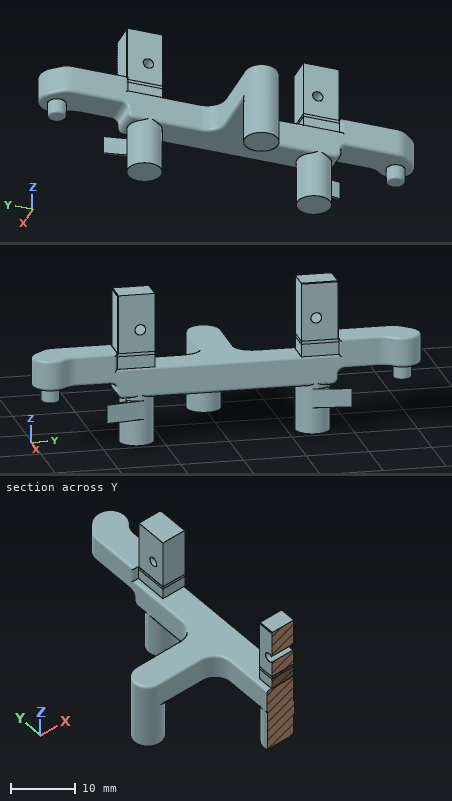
import cadquery as cq
import math

frame_bottom = 7.8
frame_top = 12.7
arm_bottom = 10.3
arm_top = 15.25
post_top = 24.7

half_length = 31.0
overall_width = 21.65
bar_width = 5.5
bar_radius = bar_width / 2
stem_reach = 14.6
stem_fillet = 3.0
bar_end_y = 26.85
lobe_radius = 3.0
lobe_x = overall_width - stem_reach - bar_radius - lobe_radius
lobe_y = half_length - lobe_radius
lobe_neck_fillet = 3.0
neck_start_x = -2.0
edge_fillet = 0.5

step_y = 17.6
step_fillet = 1.0

leg_y = 14.0
tab_tilt = 10.0
tab_thickness = 0.5
tab_length = 6.1
tab_fillet = 0.6
tab_bottom = 4.3
tab_height = 3.05

pin_diameter = 3.0
pin_fillet = 0.4

post_width = 4.5
post_depth = 5.95
post_x = bar_radius - post_width / 2
post_chamfer = 0.1
pad_thickness = 0.5
hole_diameter = 1.7
hole_z = 18.9

SIDES = (1, -1)


def polar(radius, angle):
    """Offsets along X and Y of a point at this radius and angle."""
    return radius * math.cos(angle), radius * math.sin(angle)


def half_plan(side):
    """Half of the frame's plan, on one side of the stem, extruded from the feet to the post tops."""
    neck_start_y = bar_end_y + math.sqrt(bar_radius**2 - neck_start_x**2)
    to_neck_x = neck_start_x - lobe_x
    to_neck_y = neck_start_y - lobe_y
    tangent_angle = math.atan2(to_neck_y, to_neck_x) - math.acos(
        lobe_radius / math.hypot(to_neck_x, to_neck_y)
    )
    tangent_dx, tangent_dy = polar(lobe_radius, tangent_angle)

    neck_centre_x = bar_radius + lobe_neck_fillet
    centre_distance = lobe_radius + lobe_neck_fillet
    neck_drop = math.sqrt(centre_distance**2 - (neck_centre_x - lobe_x) ** 2)
    neck_centre_y = lobe_y - neck_drop
    neck_angle = math.atan2(-neck_drop, neck_centre_x - lobe_x)
    lobe_end_dx, lobe_end_dy = polar(lobe_radius, neck_angle)
    lobe_mid_dx, lobe_mid_dy = polar(lobe_radius, (tangent_angle + neck_angle) / 2)
    neck_mid_dx, neck_mid_dy = polar(lobe_neck_fillet, math.pi + neck_angle / 2)

    end_mid_angle = (math.pi + math.atan2(neck_start_y - bar_end_y, neck_start_x)) / 2
    end_mid_dx, end_mid_dy = polar(bar_radius, end_mid_angle)
    stem_fillet_mid = stem_fillet * (1 - math.sqrt(0.5))

    def at(x, y):
        return x, side * y

    diagonal = bar_radius * math.sqrt(0.5)
    return (
        cq.Workplane("XY")
        .moveTo(*at(-stem_reach - bar_radius, 0))
        .threePointArc(
            at(-stem_reach - diagonal, diagonal),
            at(-stem_reach, bar_radius),
        )
        .lineTo(*at(-bar_radius - stem_fillet, bar_radius))
        .threePointArc(
            at(-bar_radius - stem_fillet_mid, bar_radius + stem_fillet_mid),
            at(-bar_radius, bar_radius + stem_fillet),
        )
        .lineTo(*at(-bar_radius, bar_end_y))
        .threePointArc(at(end_mid_dx, bar_end_y + end_mid_dy), at(neck_start_x, neck_start_y))
        .lineTo(*at(lobe_x + tangent_dx, lobe_y + tangent_dy))
        .threePointArc(
            at(lobe_x + lobe_mid_dx, lobe_y + lobe_mid_dy),
            at(lobe_x + lobe_end_dx, lobe_y + lobe_end_dy),
        )
        .threePointArc(
            at(neck_centre_x + neck_mid_dx, neck_centre_y + neck_mid_dy),
            at(bar_radius, neck_centre_y),
        )
        .lineTo(*at(bar_radius, 0))
        .close()
        .extrude(post_top)
    )


def step_profile():
    """Side shape of the frame: a low middle between two raised arms, extruded through all of X."""
    bend = step_fillet * (1 - math.sqrt(0.5))
    lower_y = step_y - step_fillet
    upper_y = step_y + step_fillet
    past_end = half_length + bar_radius
    profile = (
        cq.Workplane("YZ", origin=(-half_length, 0, 0))
        .moveTo(-lower_y, frame_bottom)
        .lineTo(lower_y, frame_bottom)
        .threePointArc((step_y - bend, frame_bottom + bend), (step_y, frame_bottom + step_fillet))
        .lineTo(step_y, arm_bottom - step_fillet)
        .threePointArc((step_y + bend, arm_bottom - bend), (upper_y, arm_bottom))
        .lineTo(past_end, arm_bottom)
        .lineTo(past_end, arm_top)
        .lineTo(step_y, arm_top)
        .lineTo(step_y, frame_top)
        .lineTo(-step_y, frame_top)
        .lineTo(-step_y, arm_top)
        .lineTo(-past_end, arm_top)
        .lineTo(-past_end, arm_bottom)
        .lineTo(-upper_y, arm_bottom)
        .threePointArc((-step_y - bend, arm_bottom - bend), (-step_y, arm_bottom - step_fillet))
        .lineTo(-step_y, frame_bottom + step_fillet)
        .threePointArc((-step_y + bend, frame_bottom + bend), (-lower_y, frame_bottom))
        .close()
    )
    return profile.extrude(2 * half_length)


def is_rim(edge):
    """True for the edges between the outline and the top, bottom and step faces of the frame."""
    box = edge.BoundingBox()
    centre = edge.Center()
    tolerance = 0.0005
    if box.ylen < tolerance and box.zlen < tolerance:
        crosses_bar = abs(centre.x) < tolerance
        return not crosses_bar
    if box.xlen < tolerance and box.ylen < tolerance:
        return abs(abs(centre.y) - step_y) < tolerance
    return True


def frame_body():
    """T-shaped plate with raised arms and a rounded rim."""
    plan = half_plan(1).union(half_plan(-1)).clean()
    body = plan.intersect(step_profile())
    rim_edges = [edge for edge in body.edges().vals() if is_rim(edge)]
    return cq.Workplane(body.val().fillet(edge_fillet, rim_edges))


def leg(x, y):
    """Round leg from the floor to just inside the frame, past the rounded rim."""
    return cq.Workplane("XY").center(x, y).circle(bar_radius).extrude(frame_bottom + edge_fillet)


def tab(side):
    """Tilted tab whose +X face is tangent to a rear leg; a fillet joins its other face to the leg."""
    inner_x = bar_radius - tab_thickness
    fillet_x = inner_x - tab_fillet
    fillet_y = math.sqrt((bar_radius + tab_fillet) ** 2 - fillet_x**2)
    on_leg = bar_radius / (bar_radius + tab_fillet)
    mid_angle = (math.atan2(fillet_y, fillet_x) - math.pi) / 2
    mid_dx, mid_dy = polar(tab_fillet, mid_angle)
    outline = (
        cq.Workplane("XY")
        .moveTo(0, 0)
        .lineTo(bar_radius, 0)
        .lineTo(bar_radius, tab_length)
        .lineTo(inner_x, tab_length)
        .lineTo(inner_x, fillet_y)
        .threePointArc((fillet_x + mid_dx, fillet_y + mid_dy), (fillet_x * on_leg, fillet_y * on_leg))
        .close()
    )
    blade = outline.extrude(tab_height).rotate((0, 0, 0), (0, 0, 1), -tab_tilt)
    if side < 0:
        blade = blade.mirror("XZ")
    return blade.translate((0, side * leg_y, tab_bottom))


def pin(side):
    """Pin hanging from the lobe, with a rounded tip level with the underside of the frame."""
    return (
        cq.Workplane("XY", origin=(lobe_x, side * lobe_y, frame_bottom))
        .circle(pin_diameter / 2)
        .extrude(arm_bottom - frame_bottom)
        .faces("<Z")
        .edges()
        .fillet(pin_fillet)
    )


def post_block(side, bottom, top):
    """Block of the post's cross-section, flush with the +X side of the bar and touching the step."""
    centre_y = side * (step_y - post_depth / 2)
    return (
        cq.Workplane("XY", origin=(post_x, centre_y, bottom))
        .rect(post_width, post_depth)
        .extrude(top - bottom)
    )


def post(side):
    """Post with a cross hole along X; the two posts are half-turn copies about the middle of the bar.

    The outer face is chamfered on its sides and top, and the top also along one long edge.
    """
    block = post_block(-1, arm_top, post_top)
    outer_edges = block.faces("<Y").edges("not <Z")
    long_top_edge = block.faces(">Z").edges("<X")
    block = outer_edges.add(long_top_edge).chamfer(post_chamfer)
    hole = (
        cq.Workplane("YZ", origin=(-half_length, -leg_y, hole_z))
        .circle(hole_diameter / 2)
        .extrude(2 * half_length)
    )
    block = block.cut(hole)
    if side > 0:
        block = block.rotate((post_x, 0, 0), (post_x, 0, 1), 180)
    return block


frame = frame_body().union(leg(-stem_reach, 0))
for side in SIDES:
    frame = frame.union(leg(0, side * leg_y)).union(tab(side)).union(pin(side))

pad_bottom = arm_top - pad_thickness
bases = [post_block(side, frame_top, pad_bottom) for side in SIDES]
pads = [post_block(side, pad_bottom, arm_top) for side in SIDES]
posts = [post(side) for side in SIDES]

result = cq.Compound.makeCompound(
    [frame.val()] + [body.val() for body in bases + pads + posts]
)